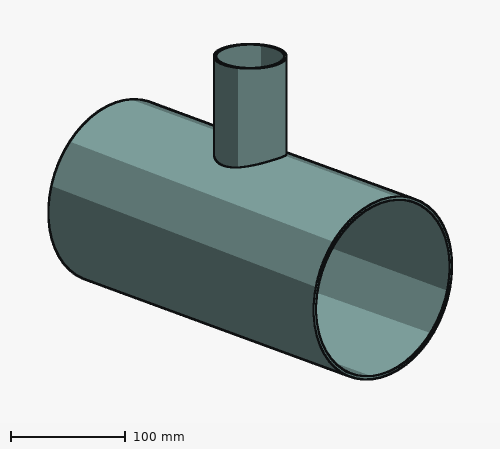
import cadquery as cq

run_length = 340.0
run_outer_diameter = 165.2
run_inner_diameter = 159.0

branch_outer_diameter = 63.5
branch_inner_diameter = 59.5
branch_top = 170.0


def run_cylinder(diameter):
    """Solid cylinder along the full length of the main pipe."""
    return cq.Workplane("YZ").circle(diameter / 2).extrude(run_length / 2, both=True)


def branch_cylinder(diameter):
    """Solid cylinder from the main pipe's axis to the open end of the branch."""
    return cq.Workplane("XY").circle(diameter / 2).extrude(branch_top)


outside = run_cylinder(run_outer_diameter).union(branch_cylinder(branch_outer_diameter))
result = outside.cut(run_cylinder(run_inner_diameter)).cut(branch_cylinder(branch_inner_diameter))